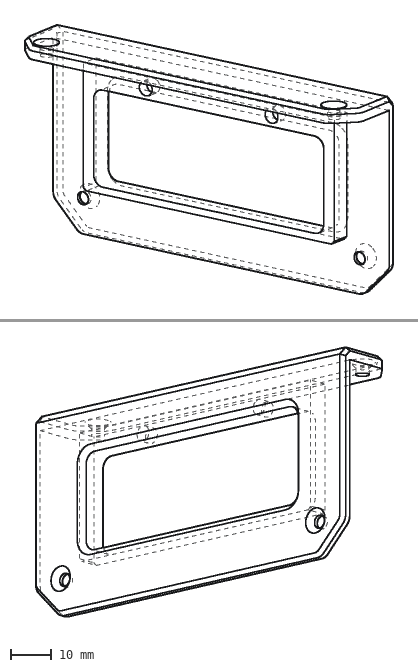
import cadquery as cq

WIDTH = 102.0
DEPTH = 20.5
HEIGHT = 52.0
PLATE_THICKNESS = 2.5
FLANGE_THICKNESS = 3.3

PLATE_CORNER = 8.1
FLANGE_CORNER = 6.0
CORNER_RADIUS = 3.1
BEND_CHAMFER = 2.1
EDGE_CHAMFER = 1.0

FRAME_WIDTH = 76.1
FRAME_HEIGHT = 32.6
FRAME_DEPTH = 5.2
FRAME_TOP = HEIGHT - 6.1
FRAME_CORNER_CHAMFER = 0.8
WINDOW_WIDTH = 69.8
WINDOW_HEIGHT = 24.9
WINDOW_TOP = HEIGHT - 12.0
WINDOW_RADIUS = 2.9
WINDOW_RIM_CHAMFER = 1.5

POCKET_DIAMETER = 3.9
POCKET_DEPTH = 3.1
POCKET_X = 19.1
POCKET_Z = HEIGHT - 9.2

SCREW_DIAMETER = 3.3
COUNTERSINK_DIAMETER = 6.3
COUNTERSINK_ANGLE = 90
PLATE_HOLE_X = WIDTH / 2 - 9.1
PLATE_HOLE_Z = 9.2
FLANGE_HOLE_X = WIDTH / 2 - 7.4
FLANGE_HOLE_Y = 5.1 - DEPTH

PICK_MARGIN = 0.1

FRAME_FACE_Y = -PLATE_THICKNESS - FRAME_DEPTH


def slab(depth, height, top, front):
    """Full-width block with its front face at Y = front and its top at Z = top."""
    return cq.Workplane("XY").box(WIDTH, depth, height, centered=(True, False, False)).translate(
        (0, front, top - height)
    )


def clip_corners(body, corner_edges, size, rounding_edges):
    """Cut two corners at 45 degrees and round both ends of each cut."""
    return body.edges(corner_edges).chamfer(size).edges(rounding_edges).fillet(CORNER_RADIUS)


def upright_bar(width, height, top, front, back):
    """Block centred on X that spans Y from front to back."""
    return (
        cq.Workplane("XZ", origin=(0, back, top - height / 2))
        .rect(width, height)
        .extrude(back - front)
    )


def make_angle():
    """L-shaped bracket with clipped free corners and bevelled outer edges."""
    plate = slab(PLATE_THICKNESS, HEIGHT, HEIGHT, -PLATE_THICKNESS)
    plate = clip_corners(plate, "|Y and <Z", PLATE_CORNER, "|Y except >Z")
    flange = slab(DEPTH, FLANGE_THICKNESS, HEIGHT, -DEPTH)
    flange = clip_corners(flange, "|Z and <Y", FLANGE_CORNER, "|Z except >Y")
    angle = plate.union(flange).clean()
    angle = angle.edges(">Y and >Z").chamfer(BEND_CHAMFER)
    bend_lines = cq.selectors.BoxSelector(
        (-PICK_MARGIN, -BEND_CHAMFER - PICK_MARGIN, HEIGHT - BEND_CHAMFER - PICK_MARGIN),
        (PICK_MARGIN, PICK_MARGIN, HEIGHT + PICK_MARGIN),
    )
    outer_faces = angle.faces(">Y or >Z or >(0, 1, 1)")
    return outer_faces.edges(cq.selectors.InverseSelector(bend_lines)).chamfer(EDGE_CHAMFER)


def make_frame():
    """Solid block of the frame; its two lower corners are slightly bevelled."""
    frame = upright_bar(FRAME_WIDTH, FRAME_HEIGHT, FRAME_TOP, FRAME_FACE_Y, -PLATE_THICKNESS)
    return frame.edges("|Y and <Z").chamfer(FRAME_CORNER_CHAMFER)


def make_window():
    """Rounded opening through the frame and the plate."""
    window = upright_bar(WINDOW_WIDTH, WINDOW_HEIGHT, WINDOW_TOP, FRAME_FACE_Y, 0)
    return window.edges("|Y").fillet(WINDOW_RADIUS)


def make_pockets():
    """Pair of blind cylinders sunk from the frame's face."""
    return (
        cq.Workplane("XZ", origin=(0, FRAME_FACE_Y, POCKET_Z))
        .pushPoints([(-POCKET_X, 0), (POCKET_X, 0)])
        .circle(POCKET_DIAMETER / 2)
        .extrude(-POCKET_DEPTH)
    )


def drill_plate(body):
    """Add two screw holes countersunk from the back of the plate."""
    return (
        body.faces(">Y")
        .workplane(origin=(0, 0, PLATE_HOLE_Z))
        .pushPoints([(-PLATE_HOLE_X, 0), (PLATE_HOLE_X, 0)])
        .cskHole(SCREW_DIAMETER, COUNTERSINK_DIAMETER, COUNTERSINK_ANGLE, depth=PLATE_THICKNESS)
    )


def drill_flange(body):
    """Add two screw holes countersunk from the top of the flange."""
    return (
        body.faces(">Z")
        .workplane(origin=(0, FLANGE_HOLE_Y, HEIGHT))
        .pushPoints([(-FLANGE_HOLE_X, 0), (FLANGE_HOLE_X, 0)])
        .cskHole(SCREW_DIAMETER, COUNTERSINK_DIAMETER, COUNTERSINK_ANGLE, depth=FLANGE_THICKNESS)
    )


bracket = drill_plate(drill_flange(make_angle())).union(make_frame())
bracket = bracket.cut(make_window()).cut(make_pockets())

window_rim = cq.selectors.BoxSelector(
    (-WINDOW_WIDTH / 2 - PICK_MARGIN, -PICK_MARGIN, WINDOW_TOP - WINDOW_HEIGHT - PICK_MARGIN),
    (WINDOW_WIDTH / 2 + PICK_MARGIN, PICK_MARGIN, WINDOW_TOP + PICK_MARGIN),
)
result = bracket.edges(window_rim).chamfer(WINDOW_RIM_CHAMFER)